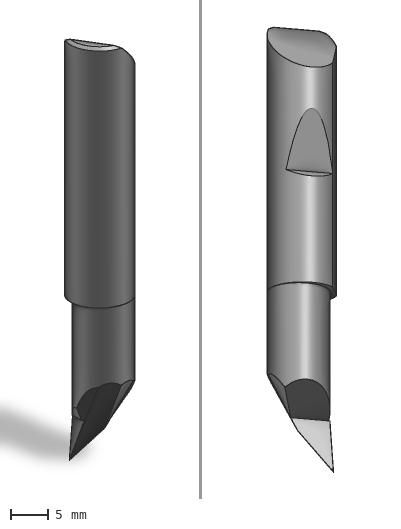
import cadquery as cq
import math

TOTAL_LENGTH = 63.15
SHANK_RADIUS = 4.77
NECK_RADIUS = 4.2
NECK_OFFSET = SHANK_RADIUS - NECK_RADIUS
SHANK_BOTTOM = 25.0
CUTTER_TOP = 7.2

TOP_CHAMFER = 0.45
TOP_CUT_START_Y = -2.95
FLAT_DISTANCE = 4.35
FLAT_ANGLE = 156.5
NOTCH_TOP = 49.6
NOTCH_FLOOR_Y = 3.5
NOTCH_DEEPEST_Z = 41.05
NOTCH_BOTTOM = 40.05

TIP = (-4.35, 0, 0)
MAIN_SLOPE_X = 1.08
MAIN_SLOPE_Y = -1.7
RELIEF_SLOPE_X = 0.49
RELIEF_SLOPE_Y = -2.5
HEEL_SLOPE_X = 1.85
HEEL_SLOPE_Y = -0.69
HEEL_X = 0.7
HEEL = (HEEL_X, 0, MAIN_SLOPE_X * (HEEL_X - TIP[0]))
SIDE_SLOPE_Y = 1.07
SIDE_SLOPE_Z = -0.07

STEP_DISTANCE = 2.95
STEP_DIRECTION = (-0.6, -0.8)
STEP_LEAN = 24.0

CUT_SIZE = 2 * TOTAL_LENGTH


def beyond(point, normal):
    """Large block on the side of a plane that its normal points to."""
    return (
        cq.Workplane(cq.Plane(origin=point, normal=normal))
        .rect(CUT_SIZE, CUT_SIZE)
        .extrude(CUT_SIZE)
    )


def make_shank():
    shank = (
        cq.Workplane("XY", origin=(0, 0, SHANK_BOTTOM))
        .circle(SHANK_RADIUS)
        .extrude(TOTAL_LENGTH - SHANK_BOTTOM)
        .faces(">Z")
        .chamfer(TOP_CHAMFER)
    )
    shank = shank.cut(beyond((0, TOP_CUT_START_Y, TOTAL_LENGTH), (0, 1, 1)))
    angle = math.radians(FLAT_ANGLE)
    normal = (math.cos(angle), math.sin(angle), 0)
    flat_point = (FLAT_DISTANCE * normal[0], FLAT_DISTANCE * normal[1], 0)
    shank = shank.cut(beyond(flat_point, normal))
    notch = (
        cq.Workplane("YZ")
        .polyline([
            (SHANK_RADIUS, NOTCH_TOP),
            (NOTCH_FLOOR_Y, NOTCH_DEEPEST_Z),
            (SHANK_RADIUS, NOTCH_BOTTOM),
        ])
        .close()
        .extrude(SHANK_RADIUS, both=True)
    )
    return shank.cut(notch)


def make_neck():
    neck = (
        cq.Workplane("XY", origin=(NECK_OFFSET, 0, CUTTER_TOP))
        .circle(NECK_RADIUS)
        .extrude(SHANK_BOTTOM - CUTTER_TOP)
    )
    neck = neck.cut(beyond((0, 0, CUTTER_TOP), (0, 1, -1)))
    step_x, step_y = STEP_DIRECTION
    step_point = (STEP_DISTANCE * step_x, STEP_DISTANCE * step_y, CUTTER_TOP)
    step_normal = (step_x, step_y, -math.tan(math.radians(STEP_LEAN)))
    return neck.cut(beyond(step_point, step_normal))


def make_cutter():
    block = (
        cq.Workplane("XY")
        .box(2 * SHANK_RADIUS, SHANK_RADIUS, CUTTER_TOP, centered=(True, False, False))
        .translate((0, -SHANK_RADIUS, 0))
    )
    return block.cut(beyond(TIP, (-1, -SIDE_SLOPE_Y, -SIDE_SLOPE_Z)))


def grind_tip(body):
    body = body.cut(beyond(TIP, (MAIN_SLOPE_X, MAIN_SLOPE_Y, -1)))
    body = body.cut(beyond(TIP, (RELIEF_SLOPE_X, RELIEF_SLOPE_Y, -1)))
    body = body.cut(beyond(HEEL, (HEEL_SLOPE_X, HEEL_SLOPE_Y, -1)))
    return body.cut(beyond(HEEL, (HEEL_SLOPE_X, 0, -1)).intersect(beyond(TIP, (0, 1, 0))))


result = make_shank().union(grind_tip(make_neck().union(make_cutter())))